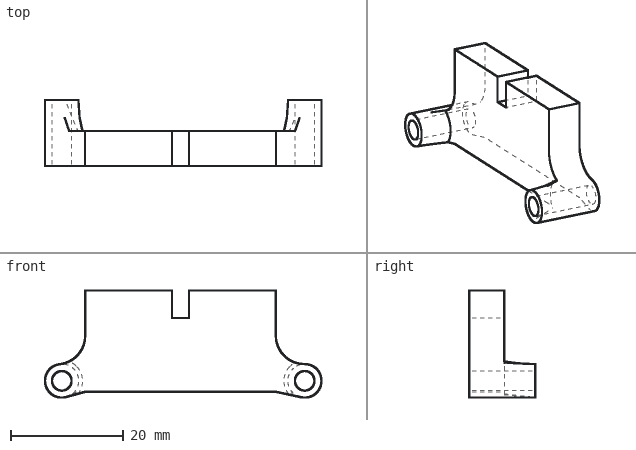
import cadquery as cq
import math

length = 49.4
height = 19.15
plate_thickness = 6.25
plate_bottom = 1.05
body_left = 7.15
body_right = 41.25
body_center = (body_left + body_right) / 2

boss_radius = 3.0
boss_length = 11.8
hole_diameter = 3.45
boss_z = boss_radius
boss_centers = (boss_radius, length - boss_radius)

flank_radius = 5.05

notch_width = 3.0
notch_depth = 4.9

flare_start = boss_length - 0.5
flare_root_radius = 3.7


def along_y(depth):
    """Extrusion distance from an XZ workplane, whose normal is -Y, towards +Y."""
    return -depth


def boss(x, radius):
    return cq.Workplane("XZ").center(x, boss_z).circle(radius).extrude(along_y(boss_length))


def wing(boss_x, body_x):
    """Web from the body side to one boss, with a concave flank tangent to both."""
    side = math.copysign(1, boss_x - body_x)

    arc_x = body_x + side * flank_radius
    reach = boss_radius + flank_radius
    arc_z = boss_z + math.sqrt(reach**2 - (arc_x - boss_x) ** 2)
    blend = boss_radius / reach
    flank_end = (boss_x + blend * (arc_x - boss_x), boss_z + blend * (arc_z - boss_z))
    to_body = math.atan2(0, -side)
    to_boss = math.atan2(flank_end[1] - arc_z, flank_end[0] - arc_x) % (2 * math.pi)
    if side < 0:
        to_boss -= 2 * math.pi
    mid_angle = (to_body + to_boss) / 2
    flank_mid = (
        arc_x + flank_radius * math.cos(mid_angle),
        arc_z + flank_radius * math.sin(mid_angle),
    )

    run = abs(boss_x - body_x)
    rise = boss_z - plate_bottom
    distance = math.hypot(run, rise)
    tangent_angle = math.asin(boss_radius / distance) - math.atan2(rise, run)
    lower_end = (
        boss_x - side * boss_radius * math.sin(tangent_angle),
        boss_z - boss_radius * math.cos(tangent_angle),
    )

    return (
        cq.Workplane("XZ")
        .moveTo(body_x, plate_bottom)
        .lineTo(body_x, arc_z)
        .threePointArc(flank_mid, flank_end)
        .lineTo(boss_x, boss_z)
        .lineTo(*lower_end)
        .close()
        .extrude(along_y(boss_length))
    )


def flare(x):
    """Solid of revolution about the boss axis, widening towards the plate."""
    return (
        cq.Workplane("XY")
        .moveTo(x, plate_thickness)
        .lineTo(x, boss_length)
        .lineTo(x + boss_radius, boss_length)
        .lineTo(x + boss_radius, flare_start)
        .tangentArcPoint((x + flare_root_radius, plate_thickness), relative=False)
        .close()
        .revolve(360, (x, 0, 0), (x, 1, 0))
        .translate((0, 0, boss_z))
    )


body = cq.Workplane("XY").box(
    body_right - body_left, plate_thickness, height - plate_bottom, centered=False
).translate((body_left, 0, plate_bottom))
notch = cq.Workplane("XY").box(
    notch_width, plate_thickness, notch_depth, centered=(True, False, False)
).translate((body_center, 0, height - notch_depth))
result = body.cut(notch)

plate_space = cq.Workplane("XY").box(length, plate_thickness, height, centered=False)
for boss_x, body_x in zip(boss_centers, (body_left, body_right)):
    web = wing(boss_x, body_x)
    result = result.union(web.intersect(plate_space))
    result = result.union(boss(boss_x, boss_radius))
    result = result.union(web.intersect(flare(boss_x)))

for boss_x in boss_centers:
    result = result.cut(boss(boss_x, hole_diameter / 2))